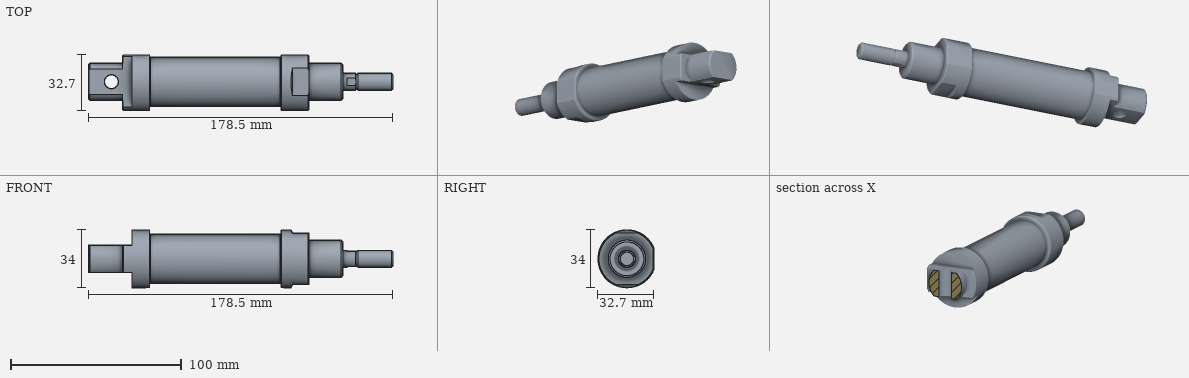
import cadquery as cq


CAP_START_X = 20.0
BARREL_START_X = 36.2
BARREL_END_X = 112.1
CAP_END_X = 129.0
NOSE_END_X = 149.0
ROD_END_X = 178.5

CAP_DIAMETER = 34.0
BARREL_DIAMETER = 29.0
NOSE_DIAMETER = 22.0
ROD_DIAMETER = 10.0

CAP_FLAT_Y = 15.7
CAP_CHAMFER = 0.5
COLLAR_DIAMETER = 28.5
COLLAR_LENGTH = 0.5
NOSE_CHAMFER = 1.0

TONGUE_THICKNESS = 16.0
TONGUE_CUT_END_X = 25.3
TONGUE_CHAMFER = 0.7
PIVOT_HOLE_DIAMETER = 8.0
PIVOT_HOLE_X = 13.4

CAP_FLAT_SPAN = 30.0
CAP_FLAT_START_X = 119.6
CAP_FLAT_SLOPE_LENGTH = 1.0

ROD_FLAT_SPAN = 9.1
ROD_FLAT_START_X = 151.5
ROD_SHOULDER_X = 156.7
THREAD_START_X = 157.8
RELIEF_DIAMETER = 9.0
SHOULDER_CHAMFER = 0.45
ROD_END_CHAMFER = 1.0


def cylinder(start_x, end_x, diameter):
    """Round bar on the axis between two stations."""
    return cq.Workplane("YZ", origin=(start_x, 0, 0)).circle(diameter / 2).extrude(end_x - start_x)


def flange(start_x, end_x):
    """Round cap flange with the flat on its +Y side."""
    length = end_x - start_x
    trim_height = CAP_DIAMETER / 2 + CAP_FLAT_Y
    trim = cq.Workplane("XY").box(length, trim_height, CAP_DIAMETER, centered=(False, False, True))
    return cylinder(start_x, end_x, CAP_DIAMETER).intersect(
        trim.translate((start_x, -CAP_DIAMETER / 2, 0))
    )


def make_rear_cap():
    """Flange with a flat-sided tongue, a vertical pivot hole and a collar."""
    tongue = cylinder(0, CAP_START_X, NOSE_DIAMETER).faces("<X").chamfer(TONGUE_CHAMFER)
    flange_end_x = BARREL_START_X - COLLAR_LENGTH
    collar = cylinder(flange_end_x, BARREL_START_X, COLLAR_DIAMETER)
    cap = flange(CAP_START_X, flange_end_x).faces("<X").chamfer(CAP_CHAMFER)
    cap = cap.union(tongue).union(collar)
    cut_height = (CAP_DIAMETER - TONGUE_THICKNESS) / 2
    for side in (1, -1):
        cut = cq.Workplane("XY").box(
            TONGUE_CUT_END_X, CAP_DIAMETER, cut_height, centered=(False, True, True)
        )
        cap = cap.cut(cut.translate((0, 0, side * (TONGUE_THICKNESS + cut_height) / 2)))
    hole = (
        cq.Workplane("XY", origin=(PIVOT_HOLE_X, 0, -TONGUE_THICKNESS / 2))
        .circle(PIVOT_HOLE_DIAMETER / 2)
        .extrude(TONGUE_THICKNESS)
    )
    return cap.cut(hole)


def make_barrel():
    """Plain round barrel between the caps."""
    return cylinder(BARREL_START_X, BARREL_END_X, BARREL_DIAMETER)


def front_cap_flat_cutter():
    """Material above the upper wrench flat, a prism across Y with a sloped inner end."""
    flat_z = CAP_FLAT_SPAN / 2
    top_z = CAP_DIAMETER / 2
    return (
        cq.Workplane("XZ")
        .moveTo(CAP_FLAT_START_X, flat_z)
        .lineTo(CAP_END_X, flat_z)
        .lineTo(CAP_END_X, top_z)
        .lineTo(CAP_FLAT_START_X - CAP_FLAT_SLOPE_LENGTH, top_z)
        .close()
        .extrude(CAP_DIAMETER / 2, both=True)
    )


def make_front_cap():
    """Flange with two wrench flats, a round nose and a collar."""
    flange_start_x = BARREL_END_X + COLLAR_LENGTH
    collar = cylinder(BARREL_END_X, flange_start_x, COLLAR_DIAMETER)
    cap = flange(flange_start_x, CAP_END_X).faces("<X or >X").chamfer(CAP_CHAMFER)
    upper_cutter = front_cap_flat_cutter()
    lower_cutter = upper_cutter.mirror("XY")
    nose = cylinder(CAP_END_X, NOSE_END_X, NOSE_DIAMETER).faces(">X").chamfer(NOSE_CHAMFER)
    return cap.cut(upper_cutter).cut(lower_cutter).union(nose).union(collar)


def make_rod():
    """Piston rod end: wrench flats, a relief groove and the threaded part."""
    plain = cylinder(NOSE_END_X, ROD_SHOULDER_X, ROD_DIAMETER).faces(">X").chamfer(SHOULDER_CHAMFER)
    flat_length = ROD_SHOULDER_X - ROD_FLAT_START_X
    cut_height = (ROD_DIAMETER - ROD_FLAT_SPAN) / 2
    for side in (1, -1):
        cut = cq.Workplane("XY").box(
            flat_length, ROD_DIAMETER, cut_height, centered=(False, True, True)
        )
        cut_z = side * (ROD_FLAT_SPAN + cut_height) / 2
        plain = plain.cut(cut.translate((ROD_FLAT_START_X, 0, cut_z)))
    relief = cylinder(ROD_SHOULDER_X, THREAD_START_X, RELIEF_DIAMETER)
    thread = cylinder(THREAD_START_X, ROD_END_X, ROD_DIAMETER).faces(">X").chamfer(ROD_END_CHAMFER)
    return plain.union(relief).union(thread)


rear_cap = make_rear_cap()
barrel = make_barrel()
front_cap = make_front_cap()
rod = make_rod()

result = cq.Compound.makeCompound([rear_cap.val(), barrel.val(), front_cap.val(), rod.val()])